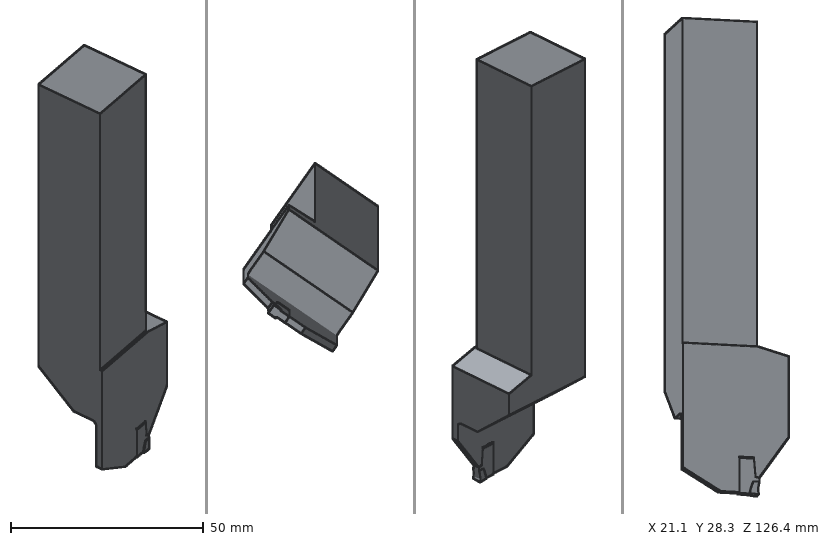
import cadquery as cq
import math

overall_height = 126.35
shank_size = 20.0

head_depth = 28.3
head_right = 20.7
head_top_z = 39.6
head_top_slope = math.radians(15)
head_bevel_top_z = 30.95
head_bevel_slope = math.radians(40)
shoulder_z = 21.35
shoulder_fillet = 1.3

blade_thickness = 2.0
blade_left = head_right - blade_thickness
blade_bottom_z = 0.5
blade_bottom_y = 10.0
blade_back_slope = math.radians(30)
blade_front_z = 15.7
blade_front_slope = math.radians(55)

pocket_back_y = 15.1
pocket_top_z = 9.95
pocket_front_top_y = 18.95
pocket_front_low_y = 19.4
pocket_front_low_z = 4.75
finger_tip_z = 4.55
finger_tip_y = head_depth - (blade_front_z - finger_tip_z) / math.tan(blade_front_slope)

insert_top_chamfer = 0.35
insert_bottom_z = 0.25
rake_top_y = 20.45
rake_middle_y = 20.1
rake_middle_z = 1.7
cutting_edge_y = 20.2
tip_right = 21.1
tip_width = 2.64
tip_left = tip_right - tip_width
tip_top_z = 3.5
tip_top_back_y = 18.8
tip_bottom_back_y = 17.8
tip_back_sag = 0.12
tip_side_relief = math.radians(3.5)
tip_edge_rise = 0.15


def prism_along_x(outline, x_start, x_end):
    """Extrude a (Y, Z) wire between two X positions."""
    return outline.extrude(x_end - x_start).translate((x_start, 0, 0))


def build_holder():
    """Shank, head and blade as one solid, with the insert pocket cut through the blade."""
    head_top_drop = (head_depth - shank_size) * math.tan(head_top_slope)
    blade_back_z = blade_bottom_z + blade_bottom_y * math.tan(blade_back_slope)
    side = (
        cq.Workplane("YZ")
        .moveTo(0, overall_height)
        .lineTo(shank_size, overall_height)
        .lineTo(shank_size, head_top_z)
        .lineTo(head_depth, head_top_z - head_top_drop)
        .lineTo(head_depth, blade_front_z)
        .lineTo(finger_tip_y, finger_tip_z)
        .lineTo(pocket_front_low_y, blade_bottom_z)
        .lineTo(blade_bottom_y, blade_bottom_z)
        .lineTo(0, blade_back_z)
        .close()
    )
    bevel_run = (head_bevel_top_z - shoulder_z) / math.tan(head_bevel_slope)
    fillet_sag = shoulder_fillet * (1 - math.sqrt(0.5))
    face = (
        cq.Workplane("XZ")
        .moveTo(0, overall_height)
        .lineTo(shank_size, overall_height)
        .lineTo(shank_size, head_top_z)
        .lineTo(head_right, head_top_z)
        .lineTo(head_right, 0)
        .lineTo(blade_left, 0)
        .lineTo(blade_left, shoulder_z - shoulder_fillet)
        .threePointArc(
            (blade_left - fillet_sag, shoulder_z - fillet_sag),
            (blade_left - shoulder_fillet, shoulder_z),
        )
        .lineTo(bevel_run, shoulder_z)
        .lineTo(0, head_bevel_top_z)
        .close()
        .extrude(-head_depth)
    )
    pocket = (
        cq.Workplane("YZ")
        .moveTo(pocket_back_y, 0)
        .lineTo(pocket_back_y, pocket_top_z)
        .lineTo(pocket_front_top_y, pocket_top_z)
        .lineTo(pocket_front_low_y, pocket_front_low_z)
        .lineTo(finger_tip_y, finger_tip_z)
        .lineTo(head_depth, finger_tip_z)
        .lineTo(head_depth, 0)
        .close()
    )
    holder = prism_along_x(side, 0, head_right).intersect(face)
    return holder.cut(prism_along_x(pocket, 0, head_right))


def draw_tip_back(outline):
    """Continue a (Y, Z) outline up the curved edge where the tip meets the insert's flat body."""
    middle_y = (tip_top_back_y + tip_bottom_back_y) / 2 - tip_back_sag
    middle_z = (tip_top_z + insert_bottom_z) / 2
    return outline.threePointArc((middle_y, middle_z), (tip_top_back_y, tip_top_z))


def build_insert_body():
    """Flat body of the insert: fills the pocket behind the tip, its top end chamfered on both sides."""
    outline = (
        draw_tip_back(
            cq.Workplane("YZ")
            .moveTo(pocket_back_y, insert_bottom_z)
            .lineTo(tip_bottom_back_y, insert_bottom_z)
        )
        .lineTo(rake_top_y, tip_top_z)
        .lineTo(finger_tip_y, finger_tip_z)
        .lineTo(pocket_front_low_y, pocket_front_low_z)
        .lineTo(pocket_front_top_y, pocket_top_z)
        .lineTo(pocket_back_y, pocket_top_z)
        .close()
    )
    body = prism_along_x(outline, blade_left, head_right)
    return body.faces(">Z").edges("|Y").chamfer(insert_top_chamfer)


def build_insert_tip():
    """Wider cutting tip, whose sides narrow upward and whose lower edge rises toward +X."""
    outline = (
        draw_tip_back(
            cq.Workplane("YZ")
            .moveTo(cutting_edge_y, 0)
            .lineTo(tip_bottom_back_y, insert_bottom_z)
        )
        .lineTo(rake_top_y, tip_top_z)
        .threePointArc((rake_middle_y, rake_middle_z), (cutting_edge_y, 0))
        .close()
    )
    side_inset = tip_top_z * math.tan(tip_side_relief)
    taper = (
        cq.Workplane("XZ")
        .polyline([
            (tip_left, 0),
            (tip_right, tip_edge_rise),
            (tip_right - side_inset, tip_top_z),
            (tip_left + side_inset, tip_top_z),
        ])
        .close()
        .extrude(-head_depth)
    )
    return prism_along_x(outline, tip_left, tip_right).intersect(taper)


holder = build_holder()
insert = build_insert_body().union(build_insert_tip())

result = cq.Compound.makeCompound([holder.val(), insert.val()])